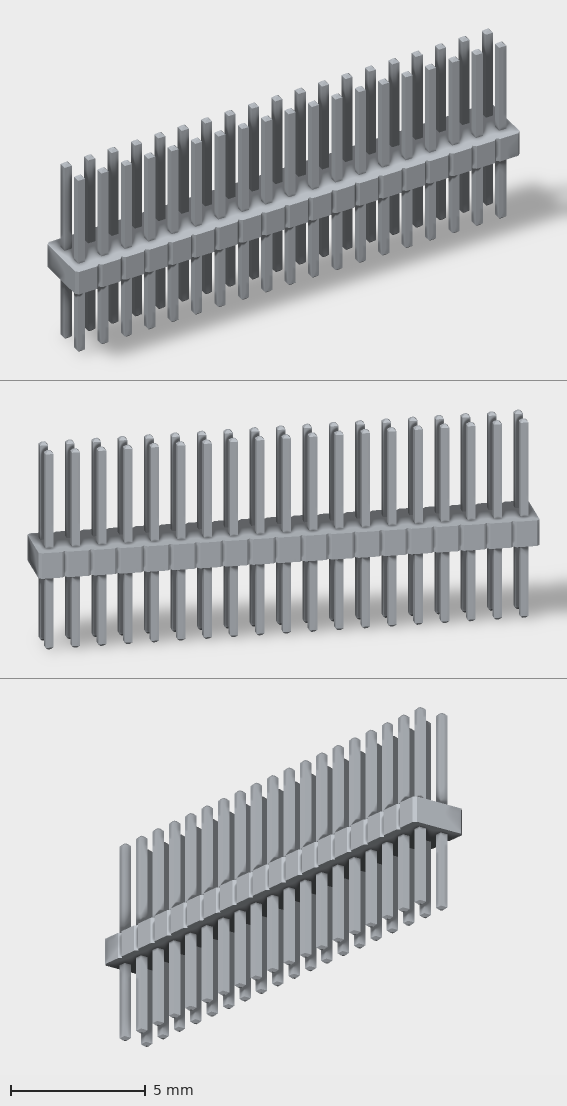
import cadquery as cq

row_count = 19
column_count = 2
body_length = 19.0
pitch = body_length / row_count

body_width = 2.3
body_height = 1.0
corner_chamfer = 0.11

pin_size = 0.3
pin_below = 3.0
pin_above = 3.8
tip_chamfer = 0.1


def make_cell():
    """One body segment, chamfered on its four vertical edges."""
    return (
        cq.Workplane("XY")
        .box(body_width, pitch, body_height, centered=(True, True, False))
        .edges("|Z")
        .chamfer(corner_chamfer)
    )


def make_pin():
    """One pin through the body, chamfered at both ends."""
    return (
        cq.Workplane("XY")
        .workplane(offset=-pin_below)
        .rect(pin_size, pin_size)
        .extrude(pin_below + body_height + pin_above)
        .faces("<Z or >Z")
        .chamfer(tip_chamfer)
    )


def centered_positions(count):
    """Positions one pitch apart, centred on zero."""
    return [(i - (count - 1) / 2) * pitch for i in range(count)]


row = make_cell()
for x in centered_positions(column_count):
    row = row.union(make_pin().translate((x, 0, 0)))

row_positions = centered_positions(row_count)
result = row.translate((0, row_positions[0], 0))
for y in row_positions[1:]:
    result = result.union(row.translate((0, y, 0)))
result = result.clean()